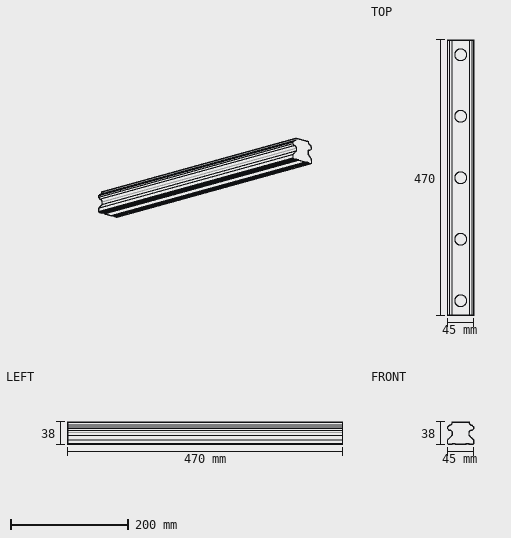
import cadquery as cq
import math

width = 45.0
length = 470.0
height = 38.0

half_width = width / 2
top_half_width = 15.0
waist_half_width = 14.5

head_side_top = 29.5
head_side_bottom = 27.0
upper_flank_run = 3.5
lower_flank_run = 3.0

groove_radius = 4.0
upper_groove_top = 37.0
lower_groove_bottom = 20.0

waist_bottom = 15.5
foot_chamfer = 1.5

channel_inner = 9.0
channel_outer = 14.5
channel_depth = 1.0

cap_count = 5
cap_diameter = 20.0
cap_end_distance = 25.0
cap_recess = 0.5


def groove_middle(start, end):
    """Middle point of a groove arc that runs downwards and bulges into the rail."""
    chord_x = end[0] - start[0]
    chord_z = end[1] - start[1]
    chord = math.hypot(chord_x, chord_z)
    sagitta = groove_radius - math.sqrt(groove_radius**2 - (chord / 2) ** 2)
    middle_x = (start[0] + end[0]) / 2
    middle_z = (start[1] + end[1]) / 2
    return (middle_x + sagitta * chord_z / chord, middle_z - sagitta * chord_x / chord)


def make_half_rail():
    """The +X half of the rail, from the centre plane outwards."""
    upper_groove_start = (top_half_width, upper_groove_top)
    upper_groove_end = (half_width - upper_flank_run, head_side_top + upper_flank_run)
    lower_groove_start = (half_width - lower_flank_run, head_side_bottom - lower_flank_run)
    lower_groove_end = (waist_half_width, lower_groove_bottom)
    shoulder_bottom = waist_bottom - (half_width - waist_half_width)
    return (
        cq.Workplane("XZ", origin=(0, length / 2, 0))
        .moveTo(0, height)
        .lineTo(top_half_width, height)
        .lineTo(*upper_groove_start)
        .threePointArc(groove_middle(upper_groove_start, upper_groove_end), upper_groove_end)
        .lineTo(half_width, head_side_top)
        .lineTo(half_width, head_side_bottom)
        .lineTo(*lower_groove_start)
        .threePointArc(groove_middle(lower_groove_start, lower_groove_end), lower_groove_end)
        .lineTo(waist_half_width, waist_bottom)
        .lineTo(half_width, shoulder_bottom)
        .lineTo(half_width, foot_chamfer)
        .lineTo(half_width - foot_chamfer, 0)
        .lineTo(channel_outer, 0)
        .lineTo(channel_outer, channel_depth)
        .lineTo(channel_inner, channel_depth)
        .lineTo(channel_inner, 0)
        .lineTo(0, 0)
        .close()
        .extrude(length)
    )


def make_cap_recesses():
    """Round recesses in the top face, evenly spaced along the rail."""
    cap_pitch = (length - 2 * cap_end_distance) / (cap_count - 1)
    return (
        cq.Workplane("XY", origin=(0, 0, height - cap_recess))
        .rarray(cap_pitch, cap_pitch, 1, cap_count)
        .circle(cap_diameter / 2)
        .extrude(cap_recess)
    )


half_rail = make_half_rail()
rail = half_rail.union(half_rail.mirror("YZ"))
result = rail.cut(make_cap_recesses())